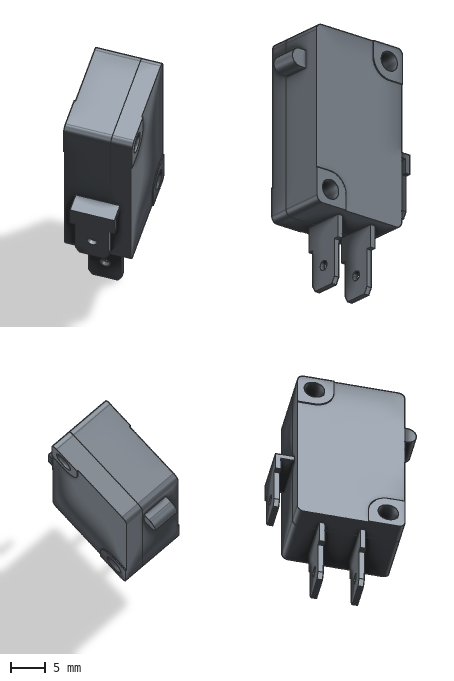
import cadquery as cq

total_height = 38.15
total_width = 10.3
housing_height = 27.8
housing_depth = 15.85
corner_radius = 1.0
parting_x = 1.9

pad_rise = 0.2
pad_size = 5.38
pad_radius = 3.0
mount_hole_diameter = 3.0
mount_hole_inset = 2.48

plunger_width = 4.2
plunger_center_x = -0.5
plunger_height = 2.8
plunger_reach = 2.48
plunger_center_z = 22.93

terminal_thickness = 0.8
shoulder_width = 6.65
blade_width = 4.95
tip_chamfer_width = 0.57
tip_chamfer_height = 1.0
terminal_hole_diameter = 1.5

bottom_terminal_length = total_height - housing_height
bottom_left_shoulder = 3.5
bottom_right_shoulder = 3.8
bottom_hole_to_tip = 3.45
bottom_terminal_front_faces = (3.62, 9.65)

side_terminal_top_z = 12.75
side_terminal_reach = 2.82
side_terminal_length = 9.5
side_shoulder_length = 3.0
side_hole_to_tip = 3.25

half_width = total_width / 2
core_half_width = half_width - pad_rise


def side_profile(x):
    """Workplane facing +X at the given x; its local axes are Y and Z."""
    return cq.Workplane("YZ", origin=(x, 0, 0))


def housing_outline(x_start, x_end):
    """Rounded rectangular block between two X planes."""
    return (
        side_profile(x_start)
        .rect(housing_depth, housing_height)
        .extrude(x_end - x_start)
        .translate((0, housing_depth / 2, housing_height / 2))
        .edges("|X")
        .fillet(corner_radius)
    )


def corner_pads(x_start, x_end):
    """Pad shapes at the upper front and lower back corners, clipped to the housing outline."""
    thickness = x_end - x_start
    upper = (
        side_profile(x_start)
        .moveTo(0, housing_height)
        .lineTo(0, housing_height - pad_size)
        .lineTo(pad_size - pad_radius, housing_height - pad_size)
        .radiusArc((pad_size, housing_height - pad_size + pad_radius), -pad_radius)
        .lineTo(pad_size, housing_height)
        .close()
        .extrude(thickness)
    )
    housing_center = (0, housing_depth / 2, housing_height / 2)
    housing_axis_end = (1, housing_depth / 2, housing_height / 2)
    lower = upper.rotate(housing_center, housing_axis_end, 180)
    return upper.union(lower).intersect(housing_outline(x_start, x_end))


def mounting_holes():
    """Cutters for the two mounting holes across the full width."""
    hole_centers = [
        (mount_hole_inset, housing_height - mount_hole_inset),
        (housing_depth - mount_hole_inset, mount_hole_inset),
    ]
    return (
        side_profile(-half_width)
        .pushPoints(hole_centers)
        .circle(mount_hole_diameter / 2)
        .extrude(total_width)
    )


def make_base():
    block = housing_outline(-core_half_width, parting_x)
    pads = corner_pads(-half_width, -core_half_width)
    return block.union(pads).cut(mounting_holes())


def make_cover():
    block = housing_outline(parting_x, core_half_width)
    pads = corner_pads(core_half_width, half_width)
    return block.union(pads).cut(mounting_holes())


def make_plunger():
    """Bar standing out of the back face with a fully rounded end."""
    radius = plunger_height / 2
    round_start_y = housing_depth + plunger_reach - radius
    return (
        side_profile(plunger_center_x - plunger_width / 2)
        .moveTo(housing_depth, plunger_center_z - radius)
        .lineTo(round_start_y, plunger_center_z - radius)
        .threePointArc(
            (round_start_y + radius, plunger_center_z),
            (round_start_y, plunger_center_z + radius),
        )
        .lineTo(housing_depth, plunger_center_z + radius)
        .close()
        .extrude(plunger_width)
    )


def make_blade(front_y, top_z, length, left_shoulder, right_shoulder, hole_to_tip):
    """Flat terminal hanging down from top_z, with shoulders, a chamfered tip and a hole."""
    shoulder_x = shoulder_width / 2
    blade_x = blade_width / 2
    tip_x = blade_x - tip_chamfer_width
    tip_z = top_z - length
    chamfer_z = tip_z + tip_chamfer_height
    outline = [
        (-shoulder_x, top_z),
        (-shoulder_x, top_z - left_shoulder),
        (-blade_x, top_z - left_shoulder),
        (-blade_x, chamfer_z),
        (-tip_x, tip_z),
        (tip_x, tip_z),
        (blade_x, chamfer_z),
        (blade_x, top_z - right_shoulder),
        (shoulder_x, top_z - right_shoulder),
        (shoulder_x, top_z),
    ]
    front = cq.Workplane("XZ", origin=(0, front_y, 0))
    plate = front.polyline(outline).close().extrude(-terminal_thickness)
    hole = (
        front.center(0, tip_z + hole_to_tip)
        .circle(terminal_hole_diameter / 2)
        .extrude(-terminal_thickness)
    )
    return plate.cut(hole)


def make_bottom_terminal(front_y):
    return make_blade(
        front_y,
        0,
        bottom_terminal_length,
        bottom_left_shoulder,
        bottom_right_shoulder,
        bottom_hole_to_tip,
    )


def make_side_terminal():
    """Blade joined to the front face by a horizontal shelf."""
    blade = make_blade(
        -side_terminal_reach,
        side_terminal_top_z,
        side_terminal_length,
        side_shoulder_length,
        side_shoulder_length,
        side_hole_to_tip,
    )
    shelf = cq.Workplane("XY").box(
        shoulder_width, side_terminal_reach, terminal_thickness
    ).translate((0, -side_terminal_reach / 2, side_terminal_top_z - terminal_thickness / 2))
    return blade.union(shelf)


base = make_base()
cover = make_cover()
plunger = make_plunger()
side_terminal = make_side_terminal()
bottom_terminals = []
for terminal_front_y in bottom_terminal_front_faces:
    bottom_terminals.append(make_bottom_terminal(terminal_front_y).val())

result = cq.Compound.makeCompound(
    [base.val(), cover.val(), plunger.val(), side_terminal.val(), *bottom_terminals]
)